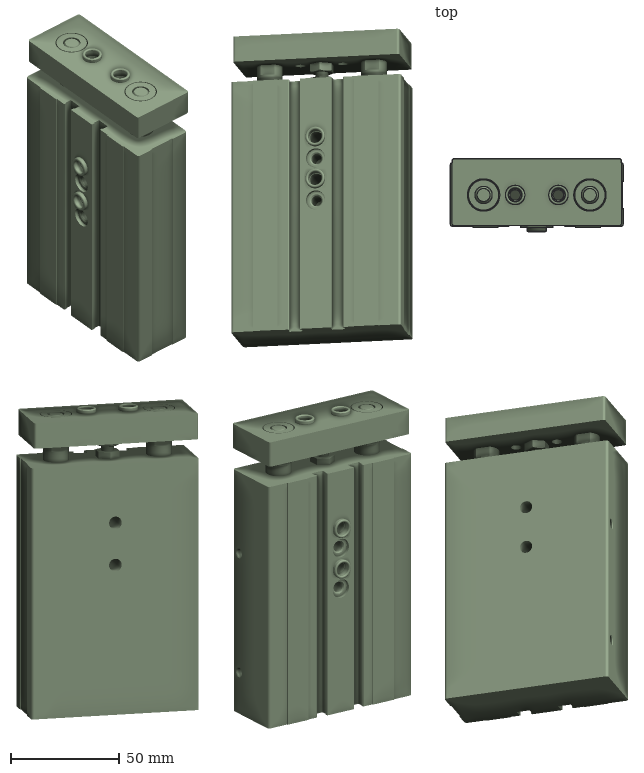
import cadquery as cq
import math


HOUSING_X = 80.0
HOUSING_Y = 30.0
HOUSING_Z = 119.1
HOUSING_CORNER_R = 1.3
RELIEF_DEPTH = 0.4
FRONT_BAND_INNER_X = 18.0
FRONT_BAND_OUTER_X = 29.5
SIDE_RELIEF_Y = 12.5

SLOT_INNER_X = 7.4
SLOT_WIDTH = 5.3
SLOT_DEPTH = 4.7
SLOT_LIP = 1.7
SLOT_UNDERCUT = 0.4
SLOT_CHAMFER = 0.4

SLEEVE_OD = 9.0
SLEEVE_BORE = 6.4
THROUGH_HOLE_DIA = 6.0
SLEEVE_PROUD = 2.0
SLEEVE_SEAT = 1.7
SLEEVE_CROWN = 0.4
HOLE_PITCH = 10.0
FRONT_HOLE_TOP_Z = 91.0
DRILL_POINT_ANGLE = 118.0
THREAD_CORE_DIA = 4.9
THREAD_MOUTH_DIA = 6.0
BLIND_HOLE_DEPTH = 11.4
PORT_DIA = 4.1
PORT_MOUTH_DIA = 4.9
PORT_DEPTH = 7.1
PORT_Y = 9.9
PORT_HEIGHTS = (20.3, 79.0)

PLATE_X = 78.3
PLATE_Z = 12.0
PLATE_CORNER_R = 1.1
PLATE_FRONT_Y = -14.1
PLATE_BACK_Y = 16.9
PLATE_SLEEVE_X = 10.0
PLATE_BOTTOM_Z = 128.8
PLATE_TOP_Z = PLATE_BOTTOM_Z + PLATE_Z

ROD_X = 24.5
ROD_DIA = 12.0
ROD_FLATS = 10.0
ROD_FLAT_Z = 4.7
STUD_DIA = 8.0
STUD_CHAMFER = 1.0
COLLAR_DIA = 14.0
COLLAR_RECESS_DIA = 15.0
COLLAR_Z = 5.0

HEX_FLATS = 10.0
LOCKNUT_Z = 3.9
SCREW_HEAD_Z = 3.1
SCREW_DIA = 6.0
HEX_CHAMFER_ANGLE = 30.0

FRONT_Y = -HOUSING_Y / 2
SLEEVED_HEIGHTS = (FRONT_HOLE_TOP_Z, FRONT_HOLE_TOP_Z - 2 * HOLE_PITCH)
BLIND_HEIGHTS = tuple(z - HOLE_PITCH for z in SLEEVED_HEIGHTS)


def cylinder(dia, length, start, direction):
    """Solid cylinder from a start point along a direction."""
    return cq.Workplane(cq.Solid.makeCylinder(dia / 2, length, cq.Vector(*start), cq.Vector(*direction)))


def drilled_hole(dia, depth, start, direction):
    """Cutter for a blind hole with a conical drill point."""
    point_length = dia / 2 / math.tan(math.radians(DRILL_POINT_ANGLE / 2))
    axis = cq.Vector(*direction)
    tip_start = cq.Vector(*start) + axis * depth
    tip = cq.Solid.makeCone(dia / 2, 0, point_length, tip_start, axis)
    return cylinder(dia, depth, start, direction).union(cq.Workplane(tip))


def countersink(mouth_dia, hole_dia, start, direction):
    """Cutter for a 45 degree lead-in at the mouth of a hole."""
    depth = (mouth_dia - hole_dia) / 2
    return cq.Workplane(
        cq.Solid.makeCone(mouth_dia / 2, hole_dia / 2, depth, cq.Vector(*start), cq.Vector(*direction))
    )


def band_box(x_min, x_max, y_min, y_max):
    """Block over the full housing height, used to cut the extruded profile."""
    return (
        cq.Workplane("XY")
        .box(x_max - x_min, y_max - y_min, HOUSING_Z, centered=False)
        .translate((x_min, y_min, 0))
    )


def sensor_slot():
    """Cutter for the slot on the +X half, with an undercut chamber and a chamfered outer lip."""
    outer_x = SLOT_INNER_X + SLOT_WIDTH
    return (
        cq.Workplane("XY")
        .moveTo(SLOT_INNER_X, FRONT_Y)
        .lineTo(SLOT_INNER_X, FRONT_Y + SLOT_LIP)
        .lineTo(SLOT_INNER_X - SLOT_UNDERCUT, FRONT_Y + SLOT_LIP)
        .lineTo(SLOT_INNER_X - SLOT_UNDERCUT, FRONT_Y + SLOT_DEPTH)
        .lineTo(outer_x + SLOT_UNDERCUT, FRONT_Y + SLOT_DEPTH)
        .lineTo(outer_x + SLOT_UNDERCUT, FRONT_Y + SLOT_LIP)
        .lineTo(outer_x, FRONT_Y + SLOT_LIP)
        .lineTo(outer_x, FRONT_Y + RELIEF_DEPTH + SLOT_CHAMFER)
        .lineTo(outer_x + SLOT_CHAMFER, FRONT_Y + RELIEF_DEPTH)
        .lineTo(outer_x + SLOT_CHAMFER, FRONT_Y)
        .close()
        .extrude(HOUSING_Z)
    )


def make_housing():
    body = cq.Workplane("XY").box(HOUSING_X, HOUSING_Y, HOUSING_Z, centered=(True, True, False))

    relief_back_y = FRONT_Y + RELIEF_DEPTH
    half_profile = (
        sensor_slot()
        .union(band_box(SLOT_INNER_X, FRONT_BAND_INNER_X, FRONT_Y, relief_back_y))
        .union(band_box(FRONT_BAND_OUTER_X, HOUSING_X / 2, FRONT_Y, relief_back_y))
    )
    body = body.cut(half_profile).cut(half_profile.mirror("YZ"))
    body = body.edges("|Z").edges("<X or >X").fillet(HOUSING_CORNER_R)

    body = body.cut(
        band_box(HOUSING_X / 2 - RELIEF_DEPTH, HOUSING_X / 2, -SIDE_RELIEF_Y / 2, SIDE_RELIEF_Y / 2)
    )

    inward = (0, 1, 0)
    for z in SLEEVED_HEIGHTS + BLIND_HEIGHTS:
        body = body.cut(cylinder(SLEEVE_OD, SLEEVE_SEAT, (0, FRONT_Y, z), inward))
    for z in SLEEVED_HEIGHTS:
        body = body.cut(cylinder(THROUGH_HOLE_DIA, HOUSING_Y, (0, FRONT_Y, z), inward))
    seat_y = FRONT_Y + SLEEVE_SEAT
    for z in BLIND_HEIGHTS:
        start = (0, seat_y, z)
        body = body.cut(drilled_hole(THREAD_CORE_DIA, BLIND_HOLE_DEPTH, start, inward))
        body = body.cut(countersink(THREAD_MOUTH_DIA, THREAD_CORE_DIA, start, inward))

    for z in PORT_HEIGHTS:
        start = (-HOUSING_X / 2, PORT_Y, z)
        body = body.cut(drilled_hole(PORT_DIA, PORT_DEPTH, start, (1, 0, 0)))
        body = body.cut(countersink(PORT_MOUTH_DIA, PORT_DIA, start, (1, 0, 0)))
    return body


def hexagon(height, bottom_z):
    """Hexagonal prism with two of its corners on the Y axis."""
    across_corners = HEX_FLATS / math.cos(math.radians(30))
    return (
        cq.Workplane("XY", origin=(0, 0, bottom_z))
        .transformed(rotate=(0, 0, 90))
        .polygon(6, across_corners)
        .extrude(height)
    )


def make_stop_screw():
    """Hexagon head on the housing, threaded shank, and locknut against the plate."""
    nut_bottom_z = PLATE_BOTTOM_Z - LOCKNUT_Z
    bevel_top_dia = HEX_FLATS + 2 * LOCKNUT_Z / math.tan(math.radians(HEX_CHAMFER_ANGLE))
    bevel = cq.Solid.makeCone(HEX_FLATS / 2, bevel_top_dia / 2, LOCKNUT_Z, cq.Vector(0, 0, nut_bottom_z))
    locknut = hexagon(LOCKNUT_Z, nut_bottom_z).intersect(cq.Workplane(bevel))
    head = hexagon(SCREW_HEAD_Z, HOUSING_Z)
    shank = cylinder(SCREW_DIA, PLATE_BOTTOM_Z - HOUSING_Z, (0, 0, HOUSING_Z), (0, 0, 1))
    return head.union(shank).union(locknut)


def make_yoke():
    """Yoke plate with the stop screw fixed under its middle."""
    plate = (
        cq.Workplane("XY")
        .box(PLATE_X, PLATE_BACK_Y - PLATE_FRONT_Y, PLATE_Z, centered=(True, False, False))
        .translate((0, PLATE_FRONT_Y, PLATE_BOTTOM_Z))
        .edges("|Z")
        .fillet(PLATE_CORNER_R)
    )
    down = (0, 0, -1)
    for side in (-1, 1):
        sleeve_top = (side * PLATE_SLEEVE_X, 0, PLATE_TOP_Z)
        plate = plate.cut(cylinder(SLEEVE_OD, SLEEVE_SEAT, sleeve_top, down))
        plate = plate.cut(cylinder(THREAD_CORE_DIA, PLATE_Z, sleeve_top, down))
        seat_floor = (side * PLATE_SLEEVE_X, 0, PLATE_TOP_Z - SLEEVE_SEAT)
        plate = plate.cut(countersink(THREAD_MOUTH_DIA, THREAD_CORE_DIA, seat_floor, down))
        rod_top = (side * ROD_X, 0, PLATE_TOP_Z)
        plate = plate.cut(cylinder(COLLAR_RECESS_DIA, COLLAR_Z, rod_top, down))
        plate = plate.cut(cylinder(STUD_DIA, PLATE_Z, rod_top, down))
    return plate.union(make_stop_screw())


def make_rod(x):
    """Rod from the housing to the top of the plate, with wrench flats, stud and collar."""
    up = (0, 0, 1)
    shaft = cylinder(ROD_DIA, PLATE_BOTTOM_Z - HOUSING_Z, (x, 0, HOUSING_Z), up)
    flat_cut_y = (ROD_DIA - ROD_FLATS) / 2
    for side in (-1, 1):
        flat_cut = cq.Workplane("XY").box(ROD_DIA, flat_cut_y, ROD_FLAT_Z).translate(
            (x, side * (ROD_FLATS + flat_cut_y) / 2, PLATE_BOTTOM_Z - ROD_FLAT_Z / 2)
        )
        shaft = shaft.cut(flat_cut)

    stud = cylinder(STUD_DIA, PLATE_Z, (x, 0, PLATE_BOTTOM_Z), up)
    collar = cylinder(COLLAR_DIA, COLLAR_Z, (x, 0, PLATE_TOP_Z - COLLAR_Z), up)

    chamfered_end = cq.Solid.makeCone(
        STUD_DIA / 2, STUD_DIA / 2 - STUD_CHAMFER, STUD_CHAMFER, cq.Vector(x, 0, PLATE_TOP_Z - STUD_CHAMFER)
    )
    groove = cylinder(STUD_DIA, STUD_CHAMFER, (x, 0, PLATE_TOP_Z - STUD_CHAMFER), up)
    groove = groove.cut(cq.Workplane(chamfered_end))
    return shaft.union(stud).union(collar).cut(groove)


def make_sleeve(face_point, outward):
    """Centring sleeve seated in a counterbore, its exposed rim crowned by an arc."""
    bore_r = SLEEVE_BORE / 2
    outer_r = SLEEVE_OD / 2
    rim = SLEEVE_PROUD - SLEEVE_CROWN
    section = (
        cq.Workplane("XZ")
        .moveTo(bore_r, -SLEEVE_SEAT)
        .lineTo(outer_r, -SLEEVE_SEAT)
        .lineTo(outer_r, rim)
        .threePointArc(((bore_r + outer_r) / 2, SLEEVE_PROUD), (bore_r, rim))
        .close()
    )
    sleeve = section.revolve(360, (0, 0, 0), (0, 1, 0))
    seat_plane = cq.Plane(origin=face_point, xDir=(1, 0, 0), normal=outward)
    return cq.Workplane(sleeve.val().located(cq.Location(seat_plane)))


housing = make_housing()
yoke = make_yoke()
rods = [make_rod(side * ROD_X) for side in (-1, 1)]
front_sleeves = [make_sleeve((0, FRONT_Y, z), (0, -1, 0)) for z in SLEEVED_HEIGHTS]
plate_sleeves = [make_sleeve((side * PLATE_SLEEVE_X, 0, PLATE_TOP_Z), (0, 0, 1)) for side in (-1, 1)]

result = cq.Compound.makeCompound(
    [housing.val(), yoke.val()] + [body.val() for body in rods + front_sleeves + plate_sleeves]
)